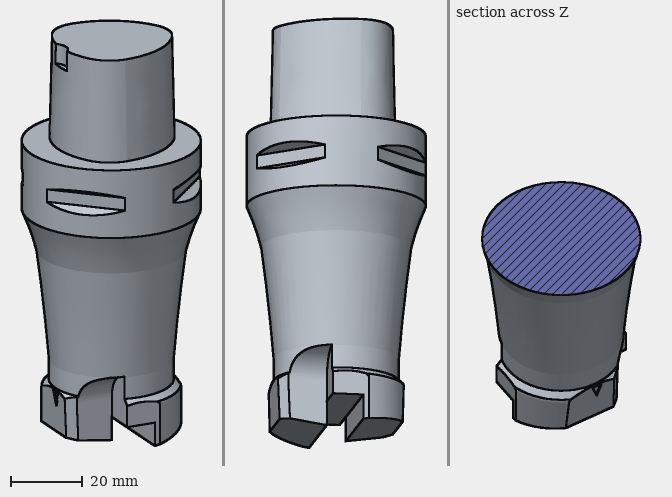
import cadquery as cq
import math

total_height = 115.0
flange_top = 85.1
flange_bottom = 65.1
shoulder_end = 53.1
neck_top = 21.0
head_top = 14.7

flange_radius = 50.0 / 2
shoulder_mid_radius = 22.7
shoulder_radius = 20.9
taper_mid_radius = 19.0
neck_radius = 17.5
head_radius = 19.5
head_chamfer_level = 13.0
head_chamfer_radius = 19.3
head_edge_level = 12.0
head_side_flat = 18.6

shank_base_radius = 17.5
shank_top_radius = 16.8
lobe_height = 1.0
key_radius = 4.8
key_center_y = -18.9
key_depth = 5.8

groove_count = 4
groove_level = 75.0
groove_floor_distance = 22.2
groove_floor_width = 3.7
groove_flank_angle = 30.0

front_flat = 17.6
flat_tilt = 2.4
corner_start_x = 6.3
pocket_wall_x = 9.0
corner_drop = 2.4
pocket_top = 21.3
pocket_radius = 8.5
slot_width = 8.6
slot_height = 6.9
roof_rise = 2.0

mark_x = 0.7
mark_tip_level = 9.8
mark_top_level = 13.8
mark_width = 3.0
mark_depth = 0.3

reach = 34.5


def lobed_section(workplane, mean_radius):
    """Draw a constant-width outline of three tight and three wide arcs, one lobe towards +Y."""
    center_distance = 2 * lobe_height / (2 - math.sqrt(3))
    lobe_radius = mean_radius + lobe_height - center_distance

    def joint(lobe_angle, normal_angle):
        lobe = math.radians(lobe_angle)
        normal = math.radians(normal_angle)
        return (
            center_distance * math.cos(lobe) + lobe_radius * math.cos(normal),
            center_distance * math.sin(lobe) + lobe_radius * math.sin(normal),
        )

    def middle(angle, radius):
        return (radius * math.cos(math.radians(angle)), radius * math.sin(math.radians(angle)))

    outline = workplane.moveTo(*joint(90, 60))
    for lobe_angle in (90, 210, 330):
        lobe_end = joint(lobe_angle, lobe_angle + 30)
        next_start = joint(lobe_angle + 120, lobe_angle + 90)
        outline = (
            outline
            .threePointArc(middle(lobe_angle, mean_radius + lobe_height), lobe_end)
            .threePointArc(middle(lobe_angle + 60, mean_radius - lobe_height), next_start)
        )
    return outline.close()


def make_shank():
    base = lobed_section(cq.Workplane("XY", origin=(0, 0, flange_top)), shank_base_radius)
    top_plane = base.workplane(offset=total_height - flange_top)
    shank = lobed_section(top_plane, shank_top_radius).loft(ruled=True)
    key_notch = (
        cq.Workplane("XY", origin=(0, key_center_y, total_height - key_depth))
        .circle(key_radius)
        .extrude(key_depth)
    )
    return shank.cut(key_notch)


def make_body():
    """Turn the flange, the two curved tapers, the neck and the head blank."""
    shoulder_mid = (shoulder_mid_radius, (flange_bottom + shoulder_end) / 2)
    taper_mid = (taper_mid_radius, (shoulder_end + neck_top) / 2)
    return (
        cq.Workplane("XZ")
        .lineTo(head_radius, 0)
        .lineTo(head_radius, head_edge_level)
        .tangentArcPoint((head_chamfer_radius, head_chamfer_level), relative=False)
        .lineTo(neck_radius, head_top)
        .lineTo(neck_radius, neck_top)
        .threePointArc(taper_mid, (shoulder_radius, shoulder_end))
        .threePointArc(shoulder_mid, (flange_radius, flange_bottom))
        .lineTo(flange_radius, flange_top)
        .lineTo(0, flange_top)
        .close()
        .revolve(360, (0, 0), (0, 1))
    )


def make_grooves():
    """Return V-flanked, flat-bottomed cutters on the diagonals of the flange."""
    depth = flange_radius - groove_floor_distance
    flare = depth * math.tan(math.radians(groove_flank_angle))
    inner = groove_floor_width / 2
    outer = inner + flare
    cutter = (
        cq.Workplane("XZ", origin=(0, reach, groove_level))
        .polyline([
            (groove_floor_distance, -inner),
            (flange_radius, -outer),
            (flange_radius, outer),
            (groove_floor_distance, inner),
        ])
        .close()
        .extrude(2 * reach)
    )
    step = 360 / groove_count
    return [
        cutter.rotate((0, 0, 0), (0, 0, 1), step * (index + 0.5))
        for index in range(groove_count)
    ]


def make_front_flat():
    """Return the cutter for the tilted -Y flat and its bevelled +X corner."""
    bevel_run = pocket_wall_x - corner_start_x
    return (
        cq.Workplane("XY", origin=(0, 0, -reach / 2))
        .polyline([
            (-reach, -front_flat),
            (corner_start_x, -front_flat),
            (pocket_wall_x + bevel_run, -front_flat + 2 * corner_drop),
            (pocket_wall_x + bevel_run, -reach),
            (-reach, -reach),
        ])
        .close()
        .extrude(reach / 2 + head_top)
        .rotate((0, -front_flat, head_edge_level), (1, -front_flat, head_edge_level), flat_tilt)
    )


def make_pocket():
    """Return the chip pocket cutter for the +X, -Y corner of the head."""
    return (
        cq.Workplane("XZ", origin=(0, -slot_width / 2, 0))
        .moveTo(pocket_wall_x, -reach)
        .lineTo(pocket_wall_x, pocket_top - pocket_radius)
        .radiusArc((pocket_wall_x + pocket_radius, pocket_top), pocket_radius)
        .lineTo(reach, pocket_top)
        .lineTo(reach, -reach)
        .close()
        .extrude(reach)
    )


def make_side_flat():
    return (
        cq.Workplane("XY", origin=(head_side_flat + reach / 2, 0, 0))
        .box(reach, 2 * reach, 2 * head_top)
    )


def make_roof_cut():
    """Return the wedge that slopes the -Y half of the end face up and outward."""
    slot_edge = slot_width / 2
    slope = roof_rise / (front_flat - slot_edge)
    return (
        cq.Workplane("YZ", origin=(-reach, 0, 0))
        .moveTo(-slot_edge, 0)
        .lineTo(-reach, (reach - slot_edge) * slope)
        .lineTo(-reach, 0)
        .close()
        .extrude(2 * reach)
    )


def make_mark():
    return (
        cq.Workplane("XZ", origin=(mark_x, -front_flat + mark_depth, 0))
        .moveTo(0, mark_tip_level)
        .lineTo(mark_width / 2, mark_top_level)
        .lineTo(-mark_width / 2, mark_top_level)
        .close()
        .extrude(reach)
    )


result = make_body().union(make_shank())
for groove in make_grooves():
    result = result.cut(groove)

for half_turn in (0, 180):
    for cutter in (make_front_flat(), make_side_flat(), make_roof_cut(), make_pocket()):
        result = result.cut(cutter.rotate((0, 0, 0), (0, 0, 1), half_turn))

end_slot = cq.Workplane("XY").box(2 * reach, slot_width, 2 * slot_height)
result = result.cut(end_slot).cut(make_mark())